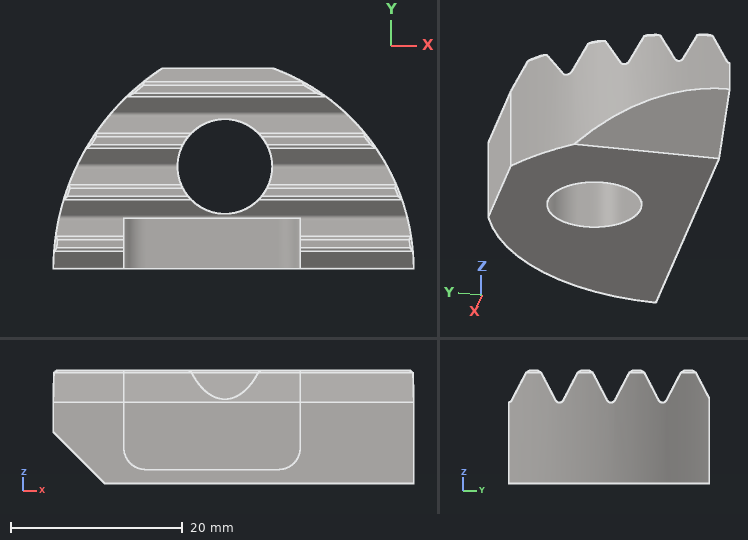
import cadquery as cq
import math

length = 42.0
depth = 23.4
height = 13.2

first_valley_y = -0.1

left_radius = 28.0
right_radius = 25.0

tooth_pitch = 6.0
valley_height = 9.45
valley_radius = 0.5
flank_angle = math.radians(27.5)
tip_chamfer = 0.3
valley_count = 5

hole_radius = 5.5
hole_x = 20.0
hole_y = first_valley_y + 2 * tooth_pitch

pocket_left = 8.25
pocket_width = 20.55
pocket_floor = 1.65
pocket_radius = 2.5
pocket_depth = first_valley_y + tooth_pitch

corner_cut = 6.0


def point_on_left(y):
    return left_radius - math.sqrt(left_radius**2 - (y - first_valley_y)**2), y


def point_on_right(y):
    return length - right_radius + math.sqrt(right_radius**2 - (y - first_valley_y)**2), y


def make_body():
    return (
        cq.Workplane("XY")
        .moveTo(*point_on_left(0))
        .lineTo(*point_on_right(0))
        .threePointArc(point_on_right(depth / 2), point_on_right(depth))
        .lineTo(*point_on_left(depth))
        .threePointArc(point_on_left(depth / 2), point_on_left(0))
        .close()
        .extrude(height)
    )


def make_valley(y):
    """V groove along X with a rounded bottom, centred at y."""
    tangent_y = valley_radius * math.cos(flank_angle)
    tangent_z = valley_height + valley_radius * (1 - math.sin(flank_angle))
    top_y = tangent_y + (height - tangent_z) * math.tan(flank_angle)
    return (
        cq.Workplane("YZ")
        .moveTo(y - top_y, height)
        .lineTo(y - tangent_y, tangent_z)
        .threePointArc((y, valley_height), (y + tangent_y, tangent_z))
        .lineTo(y + top_y, height)
        .close()
        .extrude(length)
    )


def make_hole():
    return cq.Workplane("XY").center(hole_x, hole_y).circle(hole_radius).extrude(height)


def make_pocket():
    return (
        cq.Workplane("XY")
        .box(pocket_width, pocket_depth, height, centered=False)
        .edges("|Y and <Z")
        .fillet(pocket_radius)
        .translate((pocket_left, 0, pocket_floor))
    )


def make_corner_cut():
    return (
        cq.Workplane("XZ")
        .polyline([(0, 0), (corner_cut, 0), (0, corner_cut)])
        .close()
        .extrude(-depth)
    )


body = make_body()
for index in range(valley_count):
    body = body.cut(make_valley(first_valley_y + index * tooth_pitch))

body = body.faces(">Z").edges().chamfer(tip_chamfer)

result = body.cut(make_hole()).cut(make_pocket()).cut(make_corner_cut())